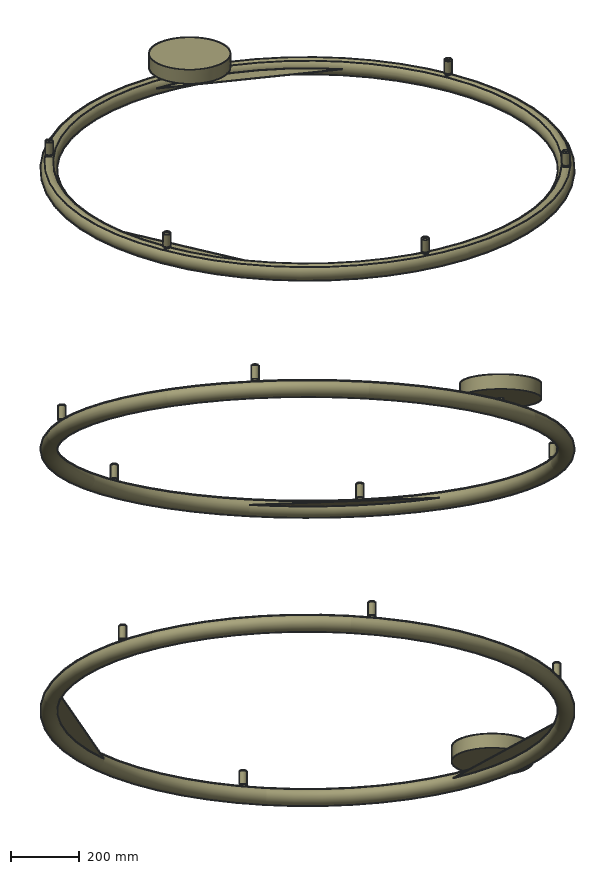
import cadquery as cq
import math

overall_length = 1643.0
overall_height = 100.0

ring_diameter = 1550.0
tube_diameter = 50.0
tube_radius = tube_diameter / 2
path_radius = ring_diameter / 2 - tube_radius

band_rise = 2.0
band_radius = tube_radius + band_rise
band_half_angle = 30.0

segment_count = 8
segment_angle = 360 / segment_count
first_joint_angle = 10.0

webbed_segments = (3, 6)
web_thickness = 2.0
web_middle_height = 28.0

station_count = 6
station_angle = 360 / station_count
canister_station = 3
canister_radius = overall_length - ring_diameter / 2 - path_radius
body_height = 45.0
body_bottom = overall_height - body_height
post_diameter = 23.0
post_chamfer = 4.1
neck_diameter = 16.0


def point_at(radius, angle):
    """Point at a radius from the Z axis, at an angle in degrees from +X."""
    turn = math.radians(angle)
    return radius * math.cos(turn), radius * math.sin(turn)


def section_point(radius, angle):
    """Point of the tube section in (distance from Z axis, height), at an angle in degrees from its top."""
    turn = math.radians(angle)
    return path_radius + radius * math.sin(turn), tube_radius + radius * math.cos(turn)


def make_segment(start_angle):
    """One tube segment with its raised band, running counterclockwise from its start angle."""
    section = (
        cq.Workplane("XZ")
        .moveTo(*section_point(band_radius, -band_half_angle))
        .threePointArc(section_point(band_radius, 0), section_point(band_radius, band_half_angle))
        .lineTo(*section_point(tube_radius, band_half_angle))
        .threePointArc(section_point(tube_radius, 180), section_point(tube_radius, -band_half_angle))
        .close()
    )
    segment = section.revolve(segment_angle, (0, 0), (0, 1))
    return segment.rotate((0, 0, 0), (0, 0, 1), start_angle)


def make_web(start_angle):
    """Flat plate from the tube centreline in to the chord across the segment."""
    end_angle = start_angle + segment_angle
    inner_radius = path_radius - tube_radius
    outline = (
        cq.Workplane("XY", origin=(0, 0, web_middle_height - web_thickness / 2))
        .moveTo(*point_at(inner_radius, start_angle))
        .lineTo(*point_at(path_radius, start_angle))
        .threePointArc(
            point_at(path_radius, start_angle + segment_angle / 2),
            point_at(path_radius, end_angle),
        )
        .lineTo(*point_at(inner_radius, end_angle))
        .close()
    )
    return outline.extrude(web_thickness)


def make_upright(angle, bottom, height, radius):
    """Vertical cylinder centred over the tube."""
    base = cq.Workplane("XY", origin=(*point_at(path_radius, angle), bottom))
    return base.circle(radius).extrude(height)


def make_station(station):
    """Neck rising from the middle of the tube, with its post or canister on top."""
    angle = station * station_angle
    neck = make_upright(angle, tube_radius, body_bottom - tube_radius, neck_diameter / 2)
    if station == canister_station:
        body = make_upright(angle, body_bottom, body_height, canister_radius)
    else:
        body = make_upright(angle, body_bottom, body_height, post_diameter / 2)
        body = body.faces(">Z").chamfer(post_chamfer)
    return neck.union(body)


pieces = []
for segment in range(segment_count):
    joint_angle = first_joint_angle + segment * segment_angle
    pieces.append(make_segment(joint_angle))
    if segment in webbed_segments:
        pieces.append(make_web(joint_angle))
for station in range(station_count):
    pieces.append(make_station(station))

result = pieces[0]
for piece in pieces[1:]:
    result = result.union(piece, clean=False)